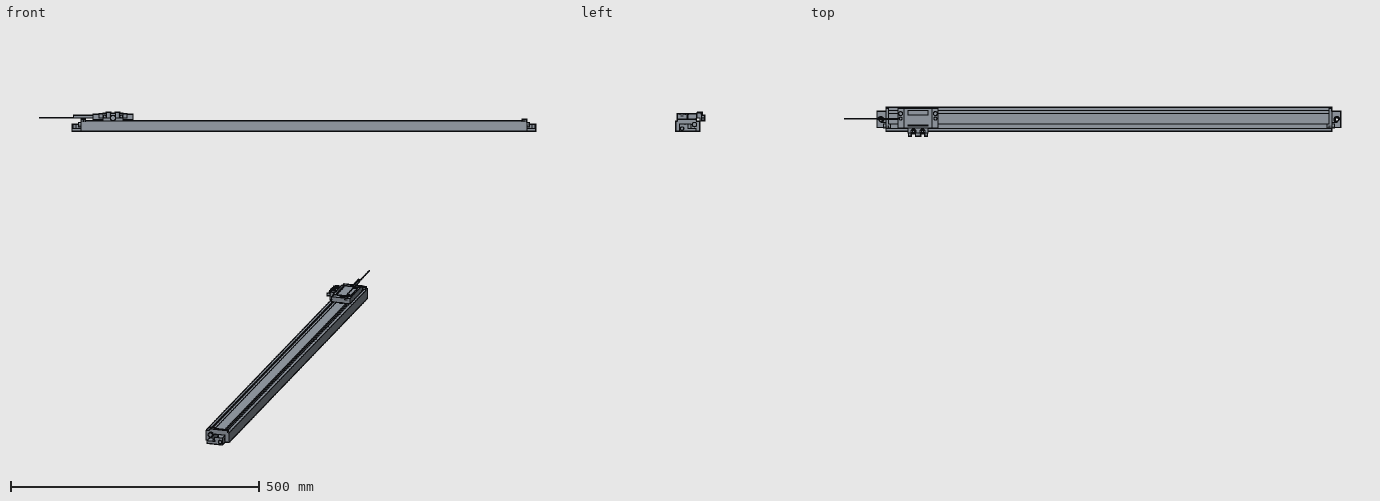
import cadquery as cq

TOTAL_LENGTH = 1000.0
TOTAL_WIDTH = 59.0
TOTAL_HEIGHT = 39.0

RAIL_START = 83.0
BRACKET_LENGTH = 18.0
RAIL_END = TOTAL_LENGTH - BRACKET_LENGTH
RAIL_FRONT = 10.0
RAIL_HEIGHT = 21.0
RIDGE_FRONT = 25.0
RIDGE_BACK = 46.0
RIDGE_RISE = 1.0
GROOVE_FRONT = 16.0
GROOVE_BACK = 52.0
GROOVE_DEPTH = 3.0

CAP_THICKNESS = 6.0
CAP_FRONT = 16.0
CAP_BACK = 56.0
CAP_HEIGHT = 25.0
CAP_ROUNDING = 5.0
LIP_LENGTH = 4.0
LIP_FRONT = 17.0
LIP_BACK = 25.0

BRACKET_FRONT = 18.0
BRACKET_BACK = 51.0
BRACKET_HEIGHT = 15.0
BRACKET_FLOOR = 6.0
MOUNT_OFFSET = 10.0
MOUNT_Y = 34.0
MOUNT_DIAMETER = 7.0
MOUNT_BORE_DIAMETER = 12.0
ACCESS_Y = 46.0
ACCESS_Z = 6.0
ACCESS_DIAMETER = 7.0
SCREW_Y = 21.0
SCREW_Z = 14.0
SCREW_DIAMETER = 9.0
SCREW_HEAD_LENGTH = 5.0

HEAD_CENTRE = 148.0
HEAD_LENGTH = 81.0
HEAD_FRONT = 17.0
HEAD_BACK = 56.0
HEAD_BOTTOM = 24.0
HEAD_TOP = 36.0
BLOCK_LENGTH = 57.0
BLOCK_BOTTOM = 27.0
BLOCK_OVERHANG = 1.0
FLANGE_DROP = 1.0
FOOT_LENGTH = 55.0
FOOT_ROUNDING = 6.0
FLANGE_HOLE_OFFSET = 35.0
FLANGE_BORE_Y = 46.0
FLANGE_BORE_DIAMETER = 8.0
FLANGE_HOLE_DEPTH = 4.0
FLANGE_HOLE_Y = 36.0
FLANGE_HOLE_DIAMETER = 6.0
PEG_DIAMETER = 8.0

PANEL_LENGTH = 41.0
PANEL_FRONT = 43.0
PANEL_BACK = 52.0
PANEL_DEPTH = 1.0

SLIT_Y = 22.0
SLIT_WIDTH = 2.0

CLAMP_FRONT = 7.0
CLAMP_BOTTOM = 27.0
CLAMP_RISE = 1.0
CLAMP_SKIRT_BACK = RAIL_FRONT
KNOB_SPACING = 18.0
KNOB_Y = 10.0
KNOB_DIAMETER = 10.0
KNOB_SOCKET_DIAMETER = 5.0
KNOB_SOCKET_DEPTH = 4.0
CENTRE_SCREW_DIAMETER = 11.0
CENTRE_SCREW_Z = 27.0
SIDE_SCREW_SPACING = 33.0
SIDE_SCREW_DIAMETER = 6.0
SIDE_SCREW_Z = 30.0

CABLE_Y = (RIDGE_FRONT + RIDGE_BACK) / 2
CABLE_Z = 28.0
CABLE_DIAMETER = 1.0
GUIDE_START = 68.0
GUIDE_THICKNESS = 2.0
GUIDE_BOTTOM = 27.0
GUIDE_TOP = 33.0


def block(x0, x1, y0, y1, z0, z1):
    """Box between two opposite corners, given in either order along X."""
    box = cq.Workplane("XY").box(abs(x1 - x0), y1 - y0, z1 - z0, centered=False)
    return box.translate((min(x0, x1), y0, z0))


def cylinder(diameter, start, length, axis):
    """Solid cylinder from its start point along the given axis."""
    solid = cq.Solid.makeCylinder(diameter / 2, length, cq.Vector(*start), cq.Vector(*axis))
    return cq.Workplane("XY").newObject([solid])


def make_rail():
    """Extruded profile with two grooves along its top and a raised ridge between them."""
    groove_z = RAIL_HEIGHT - GROOVE_DEPTH
    ridge_z = RAIL_HEIGHT + RIDGE_RISE
    profile = [
        (RAIL_FRONT, 0),
        (TOTAL_WIDTH, 0),
        (TOTAL_WIDTH, RAIL_HEIGHT),
        (GROOVE_BACK, RAIL_HEIGHT),
        (GROOVE_BACK, groove_z),
        (RIDGE_BACK, groove_z),
        (RIDGE_BACK, ridge_z),
        (RIDGE_FRONT, ridge_z),
        (RIDGE_FRONT, groove_z),
        (GROOVE_FRONT, groove_z),
        (GROOVE_FRONT, RAIL_HEIGHT),
        (RAIL_FRONT, RAIL_HEIGHT),
    ]
    section = cq.Workplane("YZ").workplane(offset=RAIL_START).polyline(profile).close()
    return section.extrude(RAIL_END - RAIL_START)


def make_cap(face_x, inward):
    """End cap that closes the rail and stands above it, with a short sealing lip in the front groove."""
    inner_x = face_x + inward * CAP_THICKNESS
    base = block(face_x, inner_x, RAIL_FRONT, TOTAL_WIDTH, 0, RAIL_HEIGHT)
    flange = block(face_x, inner_x, CAP_FRONT, CAP_BACK, 0, CAP_HEIGHT)
    flange = flange.edges("|X and >Z and <Y").fillet(CAP_ROUNDING)
    groove_z = RAIL_HEIGHT - GROOVE_DEPTH
    lip = block(inner_x, inner_x + inward * LIP_LENGTH, LIP_FRONT, LIP_BACK, groove_z, CAP_HEIGHT)
    return base.union(flange).union(lip)


def make_bracket(face_x, inward):
    """Stepped mounting bracket with a counterbored foot hole, an access hole and a cap screw."""
    outer_x = face_x - inward * BRACKET_LENGTH
    mount_x = face_x - inward * MOUNT_OFFSET
    body = block(face_x, outer_x, BRACKET_FRONT, BRACKET_BACK, 0, BRACKET_HEIGHT)

    bore_front = MOUNT_Y - MOUNT_BORE_DIAMETER / 2
    body = body.cut(block(face_x, outer_x, BRACKET_FRONT, bore_front, BRACKET_FLOOR, BRACKET_HEIGHT))
    body = body.cut(block(mount_x, outer_x, BRACKET_FRONT, MOUNT_Y, BRACKET_FLOOR, BRACKET_HEIGHT))

    bore_depth = BRACKET_HEIGHT - BRACKET_FLOOR
    up = (0, 0, 1)
    body = body.cut(cylinder(MOUNT_BORE_DIAMETER, (mount_x, MOUNT_Y, BRACKET_FLOOR), bore_depth, up))
    body = body.cut(cylinder(MOUNT_DIAMETER, (mount_x, MOUNT_Y, 0), BRACKET_FLOOR, up))

    outward = (-inward, 0, 0)
    body = body.cut(cylinder(ACCESS_DIAMETER, (face_x, ACCESS_Y, ACCESS_Z), BRACKET_LENGTH, outward))
    return body.union(cylinder(SCREW_DIAMETER, (face_x, SCREW_Y, SCREW_Z), SCREW_HEAD_LENGTH, outward))


def make_housing():
    """Rail with its two caps and brackets as one body."""
    housing = make_rail()
    for face_x, inward in ((RAIL_START, 1), (RAIL_END, -1)):
        housing = housing.union(make_cap(face_x, inward))
        housing = housing.union(make_bracket(face_x, inward))
    return housing


def head_block(length, y_front, y_back, z_bottom, z_top):
    """Box centred on the head along X."""
    return block(HEAD_CENTRE - length / 2, HEAD_CENTRE + length / 2, y_front, y_back, z_bottom, z_top)


def make_head_plate():
    """Centre block between two slightly lower end flanges, standing on a foot and two pegs."""
    flange_top = HEAD_TOP - FLANGE_DROP
    ridge_z = RAIL_HEIGHT + RIDGE_RISE
    plate = head_block(HEAD_LENGTH, HEAD_FRONT, HEAD_BACK, HEAD_BOTTOM, flange_top)
    block_front = HEAD_FRONT - BLOCK_OVERHANG
    plate = plate.union(head_block(BLOCK_LENGTH, block_front, HEAD_BACK, BLOCK_BOTTOM, HEAD_TOP))
    foot = head_block(FOOT_LENGTH, RIDGE_FRONT, RIDGE_BACK, ridge_z, HEAD_BOTTOM)
    plate = plate.union(foot.edges("|Z").fillet(FOOT_ROUNDING))

    panel_z = HEAD_TOP - PANEL_DEPTH
    plate = plate.cut(head_block(PANEL_LENGTH, PANEL_FRONT, PANEL_BACK, panel_z, HEAD_TOP))
    slit_front = SLIT_Y - SLIT_WIDTH / 2
    plate = plate.cut(head_block(PANEL_LENGTH, slit_front, slit_front + SLIT_WIDTH, panel_z, HEAD_TOP))

    flange_holes = (
        (FLANGE_BORE_Y, FLANGE_BORE_DIAMETER),
        (FLANGE_HOLE_Y, FLANGE_HOLE_DIAMETER),
    )
    for side in (-1, 1):
        hole_x = HEAD_CENTRE + side * FLANGE_HOLE_OFFSET
        for hole_y, diameter in flange_holes:
            start = (hole_x, hole_y, flange_top)
            plate = plate.cut(cylinder(diameter, start, FLANGE_HOLE_DEPTH, (0, 0, -1)))
        peg_start = (hole_x, FLANGE_HOLE_Y, ridge_z)
        plate = plate.union(cylinder(PEG_DIAMETER, peg_start, HEAD_BOTTOM - ridge_z, (0, 0, 1)))
    return plate


def make_clamp():
    """Hooked bar along the head's front edge, with two knobs on top and three screws in front."""
    clamp_top = HEAD_TOP + CLAMP_RISE
    clamp = head_block(PANEL_LENGTH, CLAMP_FRONT, HEAD_FRONT, CLAMP_BOTTOM, clamp_top)
    clamp = clamp.union(head_block(PANEL_LENGTH, CLAMP_FRONT, CLAMP_SKIRT_BACK, RAIL_HEIGHT, clamp_top))
    for side in (-1, 1):
        knob_x = HEAD_CENTRE + side * KNOB_SPACING / 2
        screw_x = HEAD_CENTRE + side * SIDE_SCREW_SPACING / 2
        knob_start = (knob_x, KNOB_Y, CLAMP_BOTTOM)
        socket_start = (knob_x, KNOB_Y, TOTAL_HEIGHT)
        clamp = clamp.union(cylinder(KNOB_DIAMETER, knob_start, TOTAL_HEIGHT - CLAMP_BOTTOM, (0, 0, 1)))
        clamp = clamp.cut(cylinder(KNOB_SOCKET_DIAMETER, socket_start, KNOB_SOCKET_DEPTH, (0, 0, -1)))
        clamp = clamp.union(cylinder(SIDE_SCREW_DIAMETER, (screw_x, 0, SIDE_SCREW_Z), CLAMP_FRONT, (0, 1, 0)))
    centre_start = (HEAD_CENTRE, 0, CENTRE_SCREW_Z)
    return clamp.union(cylinder(CENTRE_SCREW_DIAMETER, centre_start, CLAMP_FRONT, (0, 1, 0)))


def make_reader_head():
    """Head plate, clamp, cable guide and cable as one body."""
    head = make_head_plate().union(make_clamp())
    head_start = HEAD_CENTRE - HEAD_LENGTH / 2
    cable = cylinder(CABLE_DIAMETER, (0, CABLE_Y, CABLE_Z), head_start, (1, 0, 0))
    guide_front = CABLE_Y - GUIDE_THICKNESS / 2
    guide_back = CABLE_Y + GUIDE_THICKNESS / 2
    guide = block(GUIDE_START, head_start, guide_front, guide_back, GUIDE_BOTTOM, GUIDE_TOP)
    return head.union(guide).union(cable)


housing = make_housing()
reader_head = make_reader_head()
result = cq.Compound.makeCompound([*housing.solids().vals(), *reader_head.solids().vals()])